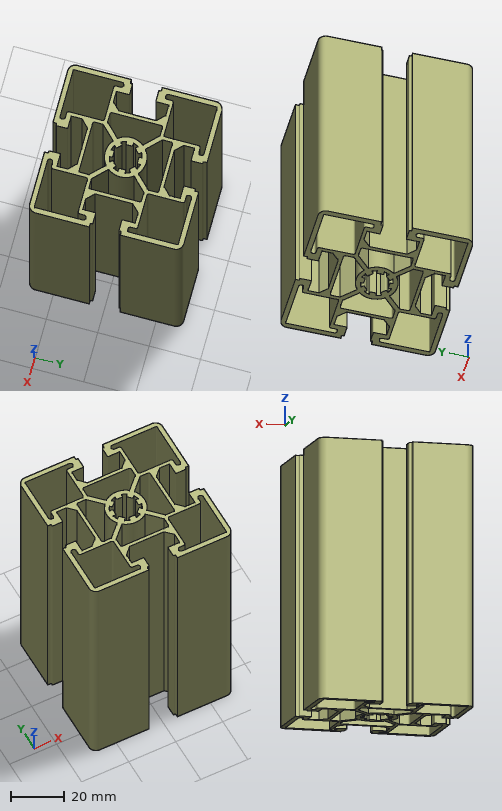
import cadquery as cq
import math

side = 60.0
length = 100.0
corner_radius = 3.0
half = side / 2

mouth_half_width = 6.0
mouth_depth = 1.5
lip_half_width = 5.1
lip_corner_radius = 0.2
mouth_step_radius = 0.3
lip_depth = 6.0
slot_half_width = 10.2
slot_floor = 16.9
slot_chamfer = 2.9

outer_wall = 2.0
slot_wall = 1.4
groove_width = 2.0
groove_end = 8.2
groove_end_radius = 0.9
hollow_corner_radius = 0.3
hollow_edge_radius = 0.8

floor_wall = 1.4
spoke_width = 1.9
chamber_corner_radius = 0.7

hub_radius = 8.0
bore_radius = 6.2
rib_tip_distance = 4.8
rib_corner_radius = 0.4
rib_width = 2.7
rib_count = 8

slot_count = 4
slot_angle = 360 / slot_count


def prism(points):
    return cq.Workplane("XY").polyline(points).close().extrude(length)


def mirrored_across_y(points):
    """Closed outline from its right half, listed from the outside inwards."""
    return points + [(-x, y) for x, y in reversed(points)]


def edges_at(body, points):
    """Lengthwise edges of the body that pass through the given points."""
    selector = None
    for x, y in points:
        nearest = cq.selectors.NearestToPointSelector((x, y, length / 2))
        selector = nearest if selector is None else selector + nearest
    return body.edges(selector)


def turned(body, angle):
    return body.rotate((0, 0, 0), (0, 0, 1), angle)


def make_slot():
    right_half = [
        (mouth_half_width, half),
        (mouth_half_width, half - mouth_depth),
        (lip_half_width, half - mouth_depth),
        (lip_half_width, half - lip_depth),
        (slot_half_width, half - lip_depth),
        (slot_half_width, slot_floor + slot_chamfer),
        (slot_half_width - slot_chamfer, slot_floor),
    ]
    lip_corners = [
        (sign * lip_half_width, half - depth)
        for sign in (-1, 1)
        for depth in (mouth_depth, lip_depth)
    ]
    mouth_steps = [(sign * mouth_half_width, half - mouth_depth) for sign in (-1, 1)]
    slot = prism(mirrored_across_y(right_half))
    slot = edges_at(slot, lip_corners).fillet(lip_corner_radius)
    return edges_at(slot, mouth_steps).fillet(mouth_step_radius)


def make_corner_hollow():
    inner = slot_half_width + slot_wall
    outer = half - outer_wall
    step = outer - groove_width
    groove_corners = [(outer, groove_end), (step, groove_end), (groove_end, step), (groove_end, outer)]
    edge_corners = [(step, inner), (inner, step), (inner, inner)]
    hollow = prism([
        (inner, inner),
        (step, inner),
        (step, groove_end),
        (outer, groove_end),
        (outer, outer),
        (groove_end, outer),
        (groove_end, step),
        (inner, step),
    ])
    hollow = edges_at(hollow, groove_corners).fillet(groove_end_radius)
    hollow = edges_at(hollow, edge_corners).fillet(hollow_edge_radius)
    return edges_at(hollow, [(outer, outer)]).fillet(hollow_corner_radius)


def make_chamber():
    top = slot_floor - floor_wall
    spoke_offset = spoke_width / 2 * math.sqrt(2)
    chamber = prism([
        (0, spoke_offset),
        (slot_half_width, slot_half_width + spoke_offset),
        (slot_half_width, top),
        (-slot_half_width, top),
        (-slot_half_width, slot_half_width + spoke_offset),
    ])
    top_corners = [(slot_half_width, top), (-slot_half_width, top)]
    return edges_at(chamber, top_corners).fillet(chamber_corner_radius)


def make_bore():
    bore = cq.Workplane("XY").circle(bore_radius).extrude(length)
    rib_reach = hub_radius - rib_tip_distance
    rib = (
        cq.Workplane("XY")
        .center(rib_tip_distance + rib_reach / 2, 0)
        .rect(rib_reach, rib_width)
        .extrude(length)
        .edges("|Z and <X")
        .fillet(rib_corner_radius)
    )
    for index in range(rib_count):
        bore = bore.cut(turned(rib, index * 360 / rib_count))
    return bore


profile = cq.Workplane("XY").rect(side, side).extrude(length).edges("|Z").fillet(corner_radius)
slot = make_slot()
corner_hollow = make_corner_hollow()
hub = cq.Workplane("XY").circle(hub_radius).extrude(length)
chamber = make_chamber().cut(hub)

for index in range(slot_count):
    for opening in (slot, corner_hollow, chamber):
        profile = profile.cut(turned(opening, index * slot_angle))

result = profile.cut(make_bore())